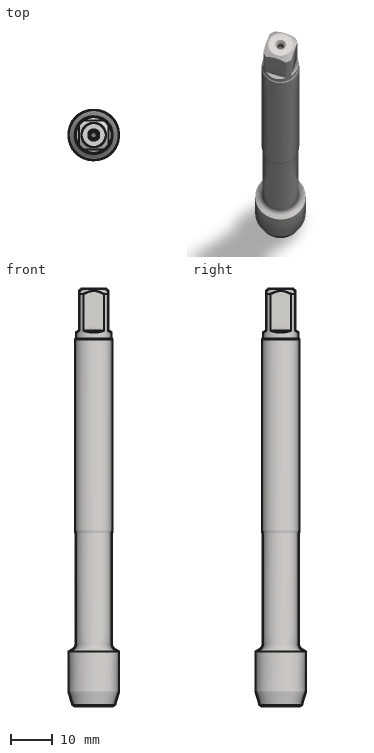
import cadquery as cq
import math

TOTAL_LENGTH = 100.0

HEAD_DIAMETER = 12.1
HEAD_LENGTH = 13.1
LEAD_LENGTH = 3.5
LEAD_END_DIAMETER = 10.2
TIP_CHAMFER_HEIGHT = 0.4
TIP_DIAMETER = 9.0

NECK_DIAMETER = 8.7
NECK_FLARE_ANGLE = 60.0
NECK_BLEND_RADIUS = 1.4
FLARE_BLEND_DIAMETER = NECK_DIAMETER + 2 * NECK_BLEND_RADIUS * (1 - math.cos(math.radians(NECK_FLARE_ANGLE)))
GRIP_DIAMETER = 9.0
GRIP_START_Z = 42.0
GRIP_TAPER_LENGTH = 0.6
GRIP_END_Z = 88.1
GRIP_CHAMFER_HEIGHT = 0.3

DRIVE_DIAMETER = 8.6
SQUARE_WIDTH = 7.0
SQUARE_LENGTH = 10.0
RUNOUT_DROP = 0.5
END_FACE_DIAMETER = 5.8
END_CHAMFER_HEIGHT = 1.3

CENTRE_DIAMETER = 1.6
CENTRE_DEPTH = 3.0
COUNTERSINK_DIAMETER = 2.6
COUNTERSINK_ANGLE = 60.0
DRILL_POINT_ANGLE = 120.0


def make_head():
    """Cylinder with a tapered lead and a small tip chamfer."""
    return (
        cq.Workplane("XZ")
        .moveTo(0, 0)
        .lineTo(TIP_DIAMETER / 2, 0)
        .lineTo(LEAD_END_DIAMETER / 2, TIP_CHAMFER_HEIGHT)
        .lineTo(HEAD_DIAMETER / 2, LEAD_LENGTH)
        .lineTo(HEAD_DIAMETER / 2, HEAD_LENGTH)
        .lineTo(0, HEAD_LENGTH)
        .close()
        .revolve(360, (0, 0, 0), (0, 1, 0))
    )


def make_turned_shank():
    """Round shank: flare, neck, grip and the round blank of the drive end."""
    angle = math.radians(NECK_FLARE_ANGLE)
    neck_radius = NECK_DIAMETER / 2
    flare_height = (HEAD_DIAMETER - FLARE_BLEND_DIAMETER) / 2 / math.tan(angle)
    blend_start_z = HEAD_LENGTH + flare_height
    blend_end_z = blend_start_z + NECK_BLEND_RADIUS * math.sin(angle)
    blend_mid = (
        neck_radius + NECK_BLEND_RADIUS * (1 - math.cos(angle / 2)),
        blend_end_z - NECK_BLEND_RADIUS * math.sin(angle / 2),
    )
    return (
        cq.Workplane("XZ")
        .moveTo(0, HEAD_LENGTH)
        .lineTo(HEAD_DIAMETER / 2, HEAD_LENGTH)
        .lineTo(FLARE_BLEND_DIAMETER / 2, blend_start_z)
        .threePointArc(blend_mid, (neck_radius, blend_end_z))
        .lineTo(neck_radius, GRIP_START_Z - GRIP_TAPER_LENGTH)
        .lineTo(GRIP_DIAMETER / 2, GRIP_START_Z)
        .lineTo(GRIP_DIAMETER / 2, GRIP_END_Z - GRIP_CHAMFER_HEIGHT)
        .lineTo(DRIVE_DIAMETER / 2, GRIP_END_Z)
        .lineTo(DRIVE_DIAMETER / 2, TOTAL_LENGTH - END_CHAMFER_HEIGHT)
        .lineTo(END_FACE_DIAMETER / 2, TOTAL_LENGTH)
        .lineTo(0, TOTAL_LENGTH)
        .close()
        .revolve(360, (0, 0, 0), (0, 1, 0))
    )


def make_flat_cutter():
    """Block that cuts the +X flat, with a sloped run-out at its lower end."""
    flat_x = SQUARE_WIDTH / 2
    outer_x = DRIVE_DIAMETER / 2
    flat_end_z = TOTAL_LENGTH - SQUARE_LENGTH
    return (
        cq.Workplane("XZ")
        .moveTo(flat_x, TOTAL_LENGTH)
        .lineTo(flat_x, flat_end_z)
        .lineTo(outer_x, flat_end_z - RUNOUT_DROP)
        .lineTo(outer_x, TOTAL_LENGTH)
        .close()
        .extrude(DRIVE_DIAMETER / 2, both=True)
    )


def make_centre_hole():
    """Countersunk blind hole with a conical drill point."""
    radius = CENTRE_DIAMETER / 2
    sink_radius = COUNTERSINK_DIAMETER / 2
    sink_depth = (sink_radius - radius) / math.tan(math.radians(COUNTERSINK_ANGLE / 2))
    point_depth = radius / math.tan(math.radians(DRILL_POINT_ANGLE / 2))
    bottom_z = TOTAL_LENGTH - CENTRE_DEPTH
    return (
        cq.Workplane("XZ")
        .moveTo(0, TOTAL_LENGTH)
        .lineTo(sink_radius, TOTAL_LENGTH)
        .lineTo(radius, TOTAL_LENGTH - sink_depth)
        .lineTo(radius, bottom_z)
        .lineTo(0, bottom_z - point_depth)
        .close()
        .revolve(360, (0, 0, 0), (0, 1, 0))
    )


def make_shank():
    """Turned shank with four drive flats and a centre hole."""
    shank = make_turned_shank()
    for turn in range(4):
        shank = shank.cut(make_flat_cutter().rotate((0, 0, 0), (0, 0, 1), turn * 90))
    return shank.cut(make_centre_hole())


head = make_head()
shank = make_shank()

result = cq.Compound.makeCompound([head.val(), *shank.vals()])